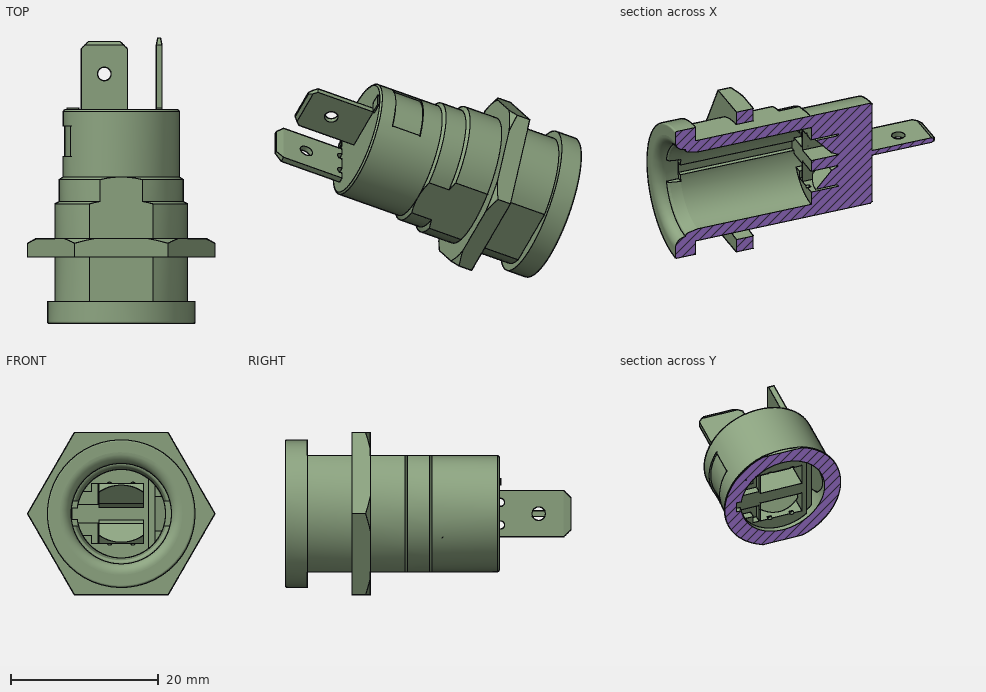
import cadquery as cq
import math


FLANGE_R = 10.0
FLANGE_T = 3.0
FLANGE_FILLET = 0.25
BARREL_R = 9.0
BARREL_END = 16.55
COLLAR_R = 8.4
COLLAR_END = 19.85
REAR_R = 7.9
REAR_END = 29.0
BARREL_CHAMFER = 0.35
COLLAR_CHAMFER = 0.35
REAR_CHAMFER = 0.25

NUT_FLATS = 22.0
NUT_CORNERS = NUT_FLATS / math.cos(math.radians(30))
NUT_START = 9.0
NUT_T = 2.5
NUT_TOP_R = 11.6
NUT_BEVEL = (NUT_CORNERS / 2 - NUT_TOP_R) * math.tan(math.radians(30))

MOUTH_R = 6.8
MOUTH_ROUND = 1.5
LIP_R = 6.3
LIP_ROUND = 0.45
BORE_R = 6.0
LIP_END = 3.3
BORE_FLOOR = 20.0
LIP_SLOT_W = 3.4
KEYWAY_W = 1.52
KEYWAY_REACH = 6.64

WINDOW_W = 6.0
WINDOW_Z0 = 0.87
WINDOW_Z1 = 4.07
WINDOW_DEPTH = 4.0
TONGUE_Z0 = 1.36
TONGUE_LOW = 3.0
TONGUE_HIGH = 0.5
TONGUE_TIP_R = 5.2
TONGUE_TIP_Z = 3.87
TONGUE_SHOULDER_Z = 2.8
NOTCH_R = 0.3
NOTCH_X = 1.58
NOTCH_Z = 3.97

L_DEPTH = 1.0
L_X = -3.18
L_STEP_X = -4.03
L_Z0 = 1.25
L_STEP_Z = 2.98

LEDGE_X = 3.68
LEDGE_DEPTH = 0.5
RECESS_X = 4.58
RECESS_DEPTH = 3.0
SIDE_TONGUE_W = 4.7

BLADE_W = 6.3
BLADE_T = 0.8
BLADE_ROOT = 26.0
BLADE_CORNER = 1.0
TIP_BEVEL = 0.2
BLADE_HOLE_D = 1.8
FLAT_BLADE_X = -2.29
FLAT_BLADE_TIP = 38.2
FLAT_BLADE_BEVEL_L = 0.5
SIDE_BLADE_X = 5.13
SIDE_BLADE_TIP = 38.7
SIDE_BLADE_BEVEL_L = 1.0
HOLE_FROM_TIP = 4.4
ROOT_HOLE_D = 1.06
ROOT_HOLE_Y = 29.14
ROOT_HOLE_Z = 1.53

LABEL_Y0 = 22.65
LABEL_Y1 = 26.75
LABEL_H = 7.8
LABEL_FLOOR_R = 7.67

MARK_H = 0.2
FLAT_MARK_X0 = -7.36
FLAT_MARK_X1 = -5.75
FLAT_MARK_W = 2.0
SIDE_MARK_Z0 = 3.85
SIDE_MARK_Z1 = 4.75


def box(x0, x1, y0, y1, z0, z1):
    """Box between two opposite corners."""
    return cq.Workplane("XY").box(x1 - x0, y1 - y0, z1 - z0, centered=False).translate((x0, y0, z0))


def cylinder_y(radius, y0, y1, x=0.0, z=0.0):
    """Cylinder parallel to Y between two stations."""
    return cq.Workplane("XZ", origin=(x, y0, z)).circle(radius).extrude(y0 - y1)


def make_body():
    """Stepped round body with two flats along barrel and collar."""
    outline = (
        cq.Workplane("XY")
        .lineTo(FLANGE_R, 0)
        .lineTo(FLANGE_R, FLANGE_T)
        .lineTo(BARREL_R, FLANGE_T)
        .lineTo(BARREL_R, BARREL_END - BARREL_CHAMFER)
        .lineTo(COLLAR_R, BARREL_END)
        .lineTo(COLLAR_R, COLLAR_END - COLLAR_CHAMFER)
        .lineTo(REAR_R, COLLAR_END)
        .lineTo(REAR_R, REAR_END)
        .lineTo(0, REAR_END)
        .close()
    )
    body = outline.revolve(360, (0, 0, 0), (0, 1, 0))
    body = body.faces("<Y").edges().fillet(FLANGE_FILLET)
    body = body.faces(">Y").edges().chamfer(REAR_CHAMFER)
    waste = box(-BARREL_R, BARREL_R, FLANGE_T, COLLAR_END, REAR_R, FLANGE_R)
    return body.cut(waste).cut(waste.mirror("XY"))


def make_nut():
    """Hexagonal nut with its rear corners turned off at 30 degrees and a round hole."""
    end = NUT_START + NUT_T
    nut = cq.Workplane("XZ", origin=(0, NUT_START, 0)).polygon(6, NUT_CORNERS).extrude(-NUT_T)
    turned = (
        cq.Workplane("XY")
        .moveTo(0, NUT_START)
        .lineTo(NUT_CORNERS / 2, NUT_START)
        .lineTo(NUT_CORNERS / 2, end - NUT_BEVEL)
        .lineTo(NUT_TOP_R, end)
        .lineTo(0, end)
        .close()
        .revolve(360, (0, 0, 0), (0, 1, 0))
    )
    thread = cylinder_y(BARREL_R, NUT_START, end)
    return nut.intersect(turned).cut(thread)


def make_bore():
    """Bore with a rounded mouth and a rounded, tapered retaining lip."""
    mid = MOUTH_ROUND * math.sqrt(0.5)
    lip_mid = LIP_ROUND * math.sqrt(0.5)
    lip_arc_y = MOUTH_ROUND + LIP_ROUND - lip_mid
    return (
        cq.Workplane("XY")
        .lineTo(MOUTH_R + MOUTH_ROUND, 0)
        .threePointArc((MOUTH_R + MOUTH_ROUND - mid, MOUTH_ROUND - mid), (MOUTH_R, MOUTH_ROUND))
        .lineTo(LIP_R + LIP_ROUND, MOUTH_ROUND)
        .threePointArc((LIP_R + LIP_ROUND - lip_mid, lip_arc_y), (LIP_R, MOUTH_ROUND + LIP_ROUND))
        .lineTo(BORE_R, LIP_END)
        .lineTo(BORE_R, BORE_FLOOR)
        .lineTo(0, BORE_FLOOR)
        .close()
        .revolve(360, (0, 0, 0), (0, 1, 0))
    )


def make_bore_slots():
    """Two notches through the lip and a keyway along the -X side of the bore."""
    half = LIP_SLOT_W / 2
    notches = box(-MOUTH_R, MOUTH_R, MOUTH_ROUND, LIP_END, -half, half)
    notches = notches.intersect(cylinder_y(MOUTH_R, MOUTH_ROUND, LIP_END))
    keyway = box(-KEYWAY_REACH, 0, LIP_END, BORE_FLOOR, -KEYWAY_W / 2, KEYWAY_W / 2)
    return notches.union(keyway)


def make_window():
    """Upper contact window, leaving a sloping tongue with a rounded tip at its bottom."""
    slope = (
        cq.Workplane("YZ", origin=(-WINDOW_W / 2, 0, 0))
        .moveTo(BORE_FLOOR, WINDOW_Z0)
        .lineTo(BORE_FLOOR + WINDOW_DEPTH, WINDOW_Z0)
        .lineTo(BORE_FLOOR + TONGUE_LOW, TONGUE_Z0)
        .lineTo(BORE_FLOOR + TONGUE_HIGH, WINDOW_Z1)
        .lineTo(BORE_FLOOR, WINDOW_Z1)
        .close()
        .extrude(WINDOW_W)
    )
    corners = (
        cq.Workplane("YZ", origin=(-WINDOW_W / 2, 0, 0))
        .moveTo(BORE_FLOOR, TONGUE_SHOULDER_Z)
        .lineTo(BORE_FLOOR + TONGUE_LOW, TONGUE_SHOULDER_Z)
        .lineTo(BORE_FLOOR + WINDOW_DEPTH, WINDOW_Z1)
        .lineTo(BORE_FLOOR, WINDOW_Z1)
        .close()
        .extrude(WINDOW_W)
    )
    tip = cylinder_y(TONGUE_TIP_R, BORE_FLOOR, BORE_FLOOR + WINDOW_DEPTH, z=TONGUE_TIP_Z - TONGUE_TIP_R)
    window = slope.union(corners.cut(tip))
    for x in (-NOTCH_X, NOTCH_X):
        window = window.union(cylinder_y(NOTCH_R, BORE_FLOOR, BORE_FLOOR + TONGUE_HIGH, x, NOTCH_Z))
    return window


def make_l_pocket():
    """Upper L-shaped pocket in the bore floor, bounded by the bore wall."""
    end = BORE_FLOOR + L_DEPTH
    pocket = box(-BORE_R, L_X, BORE_FLOOR, end, L_Z0, L_STEP_Z)
    pocket = pocket.union(box(L_STEP_X, L_X, BORE_FLOOR, end, L_Z0, WINDOW_Z1))
    return pocket.intersect(cylinder_y(BORE_R, BORE_FLOOR, end))


def make_side_recess():
    """Ledge and deeper recess at the +X side, with a sloping contact tongue left standing."""
    bottom = BORE_FLOOR + RECESS_DEPTH
    recess = box(LEDGE_X, BORE_R, BORE_FLOOR, BORE_FLOOR + LEDGE_DEPTH, -BORE_R, BORE_R)
    recess = recess.union(box(RECESS_X, BORE_R, BORE_FLOOR, bottom, -BORE_R, BORE_R))
    tongue = (
        cq.Workplane("XY", origin=(0, 0, -SIDE_TONGUE_W / 2))
        .moveTo(RECESS_X, bottom)
        .lineTo(BORE_R, BORE_FLOOR)
        .lineTo(BORE_R, bottom)
        .close()
        .extrude(SIDE_TONGUE_W)
    )
    return recess.cut(tongue).intersect(cylinder_y(BORE_R, BORE_FLOOR, bottom))


def make_blade(tip, bevel_length):
    """Blade in the XY plane centred on the Y axis, with cut corners, a bevelled tip and a hole."""
    half_w = BLADE_W / 2
    half_t = BLADE_T / 2
    plate = (
        cq.Workplane("XY", origin=(0, 0, -half_t))
        .moveTo(-half_w, BLADE_ROOT)
        .lineTo(-half_w, tip - BLADE_CORNER)
        .lineTo(-half_w + BLADE_CORNER, tip)
        .lineTo(half_w - BLADE_CORNER, tip)
        .lineTo(half_w, tip - BLADE_CORNER)
        .lineTo(half_w, BLADE_ROOT)
        .close()
        .extrude(BLADE_T)
    )
    side = (
        cq.Workplane("YZ", origin=(-half_w, 0, 0))
        .moveTo(BLADE_ROOT, -half_t)
        .lineTo(tip - bevel_length, -half_t)
        .lineTo(tip, -half_t + TIP_BEVEL)
        .lineTo(tip, half_t - TIP_BEVEL)
        .lineTo(tip - bevel_length, half_t)
        .lineTo(BLADE_ROOT, half_t)
        .close()
        .extrude(BLADE_W)
    )
    hole_place = cq.Workplane("XY").center(0, tip - HOLE_FROM_TIP)
    hole = hole_place.circle(BLADE_HOLE_D / 2).extrude(BLADE_T, both=True)
    return plate.intersect(side).cut(hole)


def make_side_blade():
    """Blade turned into the YZ plane, with two small holes at its root."""
    blade = make_blade(SIDE_BLADE_TIP, SIDE_BLADE_BEVEL_L)
    for x in (-ROOT_HOLE_Z, ROOT_HOLE_Z):
        blade = blade.cut(
            cq.Workplane("XY").center(x, ROOT_HOLE_Y).circle(ROOT_HOLE_D / 2).extrude(BLADE_T, both=True)
        )
    return blade.rotate((0, 0, 0), (0, 1, 0), 90).translate((SIDE_BLADE_X, 0, 0))


def make_label_recess():
    """Shallow recess with a cylindrical floor on the -X side of the rear body."""
    block = box(-FLANGE_R, 0, LABEL_Y0, LABEL_Y1, -LABEL_H / 2, LABEL_H / 2)
    return block.cut(cylinder_y(LABEL_FLOOR_R, LABEL_Y0, LABEL_Y1))


def make_marks():
    """Raised pads on the rear face, one beside each blade."""
    top = REAR_END + MARK_H
    flat_mark = box(FLAT_MARK_X0, FLAT_MARK_X1, REAR_END, top, -FLAT_MARK_W / 2, FLAT_MARK_W / 2)
    side_mark_x0 = SIDE_BLADE_X - BLADE_T / 2
    side_mark_x1 = SIDE_BLADE_X + BLADE_T / 2
    side_mark = box(side_mark_x0, side_mark_x1, REAR_END, top, SIDE_MARK_Z0, SIDE_MARK_Z1)
    return flat_mark.union(side_mark)


result = make_body().union(make_nut())
result = result.cut(make_bore()).cut(make_bore_slots())
for upper_cut in (make_window(), make_l_pocket()):
    result = result.cut(upper_cut).cut(upper_cut.mirror("XY"))
result = result.cut(make_side_recess()).cut(make_label_recess())
flat_blade = make_blade(FLAT_BLADE_TIP, FLAT_BLADE_BEVEL_L).translate((FLAT_BLADE_X, 0, 0))
result = result.union(flat_blade).union(make_side_blade()).union(make_marks())